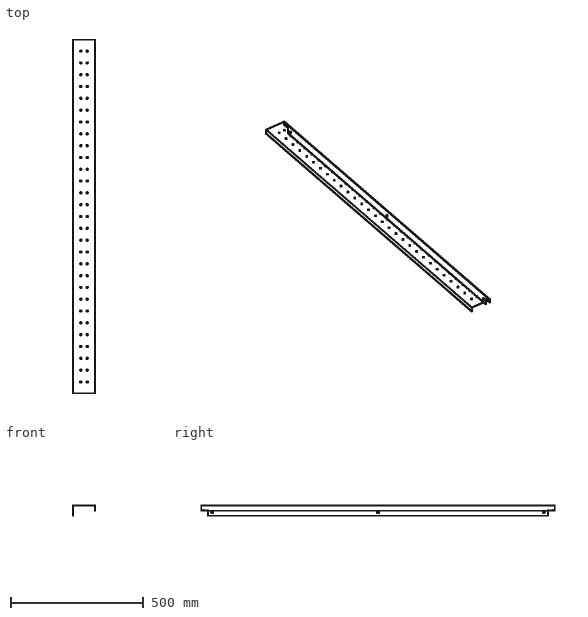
import cadquery as cq

length = 1334.0
width = 85.0
height = 40.0
sheet = 2.0

shallow_height = 20.0
notch_length = 25.0
notch_flange_height = 15.0

web_hole_diameter = 5.0
web_hole_rows = 2
web_row_spacing = 24.0
web_holes_per_row = 29
web_hole_pitch = 44.5

mount_diameter = 8.5
mount_end_offset = 41.0
mount_drop = 25.0

top = height / 2
left = -width / 2
right = width / 2


def plate(x_min, x_max, z_min, plate_length):
    """Flat piece centred on Y, from z_min up to the top face."""
    return cq.Workplane("XY").box(
        x_max - x_min, plate_length, top - z_min, centered=(False, True, False)
    ).translate((x_min, 0, z_min))


def deep_flange():
    """Flange whose lower part stops short of both ends."""
    upper = plate(left, left + sheet, top - notch_flange_height, length)
    lower = plate(left, left + sheet, top - height, length - 2 * notch_length)
    return upper.union(lower)


def web_hole_cutters():
    return (
        cq.Workplane("XY", origin=(0, 0, top - 2 * sheet))
        .rarray(web_row_spacing, web_hole_pitch, web_hole_rows, web_holes_per_row)
        .circle(web_hole_diameter / 2)
        .extrude(3 * sheet)
    )


def mount_hole_cutters():
    end_y = length / 2 - mount_end_offset
    return (
        cq.Workplane("YZ", origin=(left - sheet, 0, top - mount_drop))
        .pushPoints([(y, 0) for y in (-end_y, 0, end_y)])
        .circle(mount_diameter / 2)
        .extrude(3 * sheet)
    )


web = plate(left, right, top - sheet, length)
shallow_flange = plate(right - sheet, right, top - shallow_height, length)
channel = web.union(deep_flange()).union(shallow_flange)
result = channel.cut(web_hole_cutters()).cut(mount_hole_cutters())